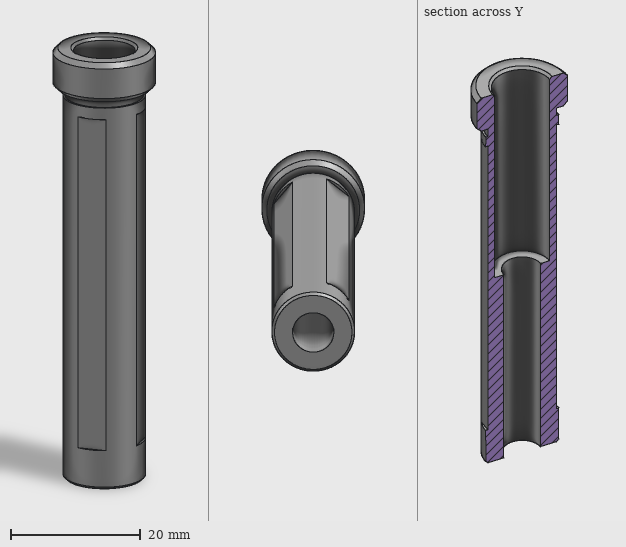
import cadquery as cq

total_length = 69.85
head_diameter = 15.85
head_length = 6.35
head_chamfer = 0.8

shank_diameter = 12.8
shank_chamfer = 0.4
groove_diameter = 12.1
groove_length = 1.3

flat_count = 4
across_flats = 11.95
flat_bottom = 6.35
flat_top = total_length - 9.6

bore_diameter = 6.35
socket_diameter = 9.5
socket_depth = 34.9
mouth_diameter = 10.35

head_bottom = total_length - head_length
groove_bottom = head_bottom - groove_length


def cylinder(diameter, bottom, top):
    """Solid cylinder on the Z axis between two heights."""
    return cq.Workplane("XY").workplane(offset=bottom).circle(diameter / 2).extrude(top - bottom)


def make_body():
    shank = cylinder(shank_diameter, 0, groove_bottom).faces("<Z").chamfer(shank_chamfer)
    neck = cylinder(groove_diameter, groove_bottom, head_bottom)
    head = cylinder(head_diameter, head_bottom, total_length).edges().chamfer(head_chamfer)
    return shank.union(neck).union(head)


def cut_flats(body):
    flat_height = flat_top - flat_bottom
    cutter = (
        cq.Workplane("XY")
        .box(shank_diameter, shank_diameter, flat_height, centered=(False, True, False))
        .translate((across_flats / 2, 0, flat_bottom))
    )
    for index in range(flat_count):
        angle = index * 360 / flat_count
        body = body.cut(cutter.rotate((0, 0, 0), (0, 0, 1), angle))
    return body


def cut_bores(body):
    bore = cylinder(bore_diameter, 0, total_length)
    socket = cylinder(socket_diameter, total_length - socket_depth, total_length)
    mouth_bevel = (mouth_diameter - socket_diameter) / 2
    body = body.cut(bore).cut(socket)
    return body.faces(">Z").edges("%CIRCLE").edges(cq.selectors.RadiusNthSelector(0)).chamfer(mouth_bevel)


result = cut_bores(cut_flats(make_body()))